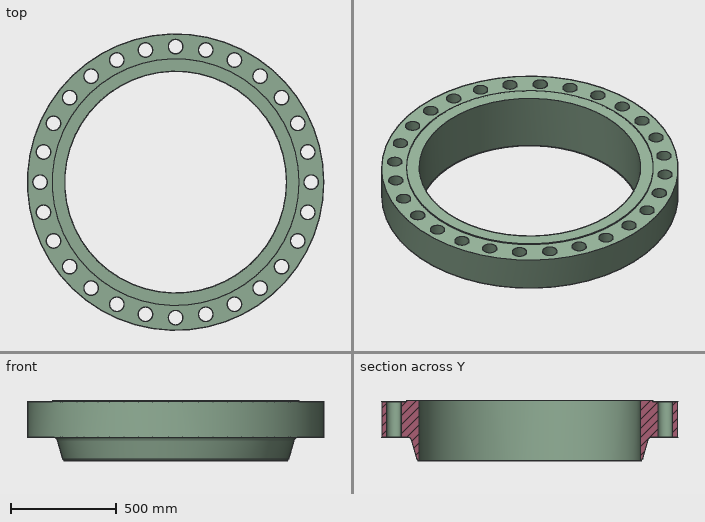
import cadquery as cq

outer_diameter = 1403.0
total_height = 286.0
bore_diameter = 1048.0
hub_height = 111.0

face_diameter = 1168.0
face_height = 5.0

hub_top_diameter = 1130.0
hub_bottom_diameter = 1072.0
hub_fillet = 17.0
bevel_height = 10.0
land_width = 4.0

bolt_count = 28
bolt_circle_diameter = 1283.0
bolt_hole_diameter = 67.0

outer_radius = outer_diameter / 2
bore_radius = bore_diameter / 2
ring_top = total_height - face_height
ring_thickness = ring_top - hub_height


def make_disc(diameter, bottom, height):
    """Solid disc on the flange axis."""
    return cq.Workplane("XY").workplane(offset=bottom).circle(diameter / 2).extrude(height)


def make_hub():
    """Tapered hub with a weld bevel at its lower end."""
    return (
        cq.Workplane("XZ")
        .moveTo(0, 0)
        .lineTo(bore_radius + land_width, 0)
        .lineTo(hub_bottom_diameter / 2, bevel_height)
        .lineTo(hub_top_diameter / 2, hub_height)
        .lineTo(0, hub_height)
        .close()
        .revolve(360, (0, 0, 0), (0, 1, 0))
    )


def fillet_hub_root(body):
    """Round the corner where the hub meets the underside of the ring."""
    at_underside = cq.selectors.BoxSelector(
        (-outer_radius, -outer_radius, hub_height - hub_fillet),
        (outer_radius, outer_radius, hub_height + hub_fillet),
    )
    smallest_circle = cq.selectors.RadiusNthSelector(0)
    return body.edges("%CIRCLE").edges(at_underside).edges(smallest_circle).fillet(hub_fillet)


def make_bolt_holes():
    """Through-hole cutters evenly spaced around the bolt circle."""
    return (
        cq.Workplane("XY")
        .polarArray(bolt_circle_diameter / 2, 0, 360, bolt_count)
        .circle(bolt_hole_diameter / 2)
        .extrude(total_height)
    )


ring = make_disc(outer_diameter, hub_height, ring_thickness)
raised_face = make_disc(face_diameter, ring_top, face_height)
body = fillet_hub_root(ring.union(raised_face).union(make_hub()))
bore = make_disc(bore_diameter, 0, total_height)
result = body.cut(bore).cut(make_bolt_holes())